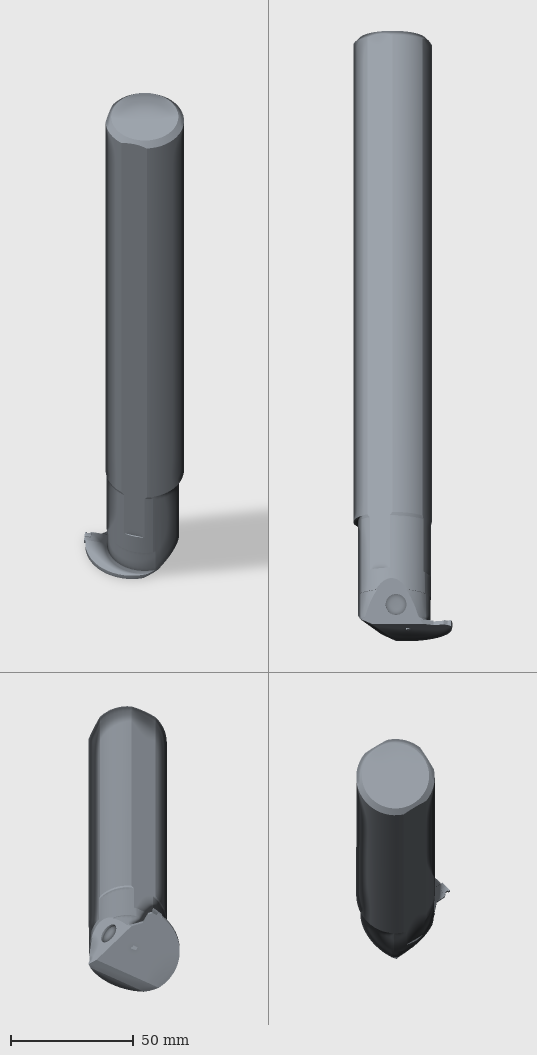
import cadquery as cq
import math


total_length = 250.0
shank_radius = 16.0
shank_bottom = 46.4
top_chamfer = 2.3

flat_distance = 15.06
flat_end = 23.0
flat_angles = [-90, 90, 180]

neck_radius = 15.67
neck_cone_height = 1.3
neck_side_flat = 15.31
lower_neck_radius = 15.43
lower_neck_top = 14.1

swing_radius = 19.1
swing_x = -5.45
swing_y = 0.22

blade_bottom = 0.7
blade_top = 2.6
collar_size = 0.9

relief_point = (-13.7, 7.06, 3.9)
relief_normal = (-0.30, 0.90, -0.30)

nose_point = (-18.9, 1.5)
nose_angle = 47.0

recess_diameter = 8.5
recess_center = (-5.6, 11.2, 8.3)
recess_depth = 1.2

heel_top = (swing_x + swing_radius, 7.6)
heel_knee = (9.3, 3.0)
heel_toe = (4.3, blade_bottom)

insert_tip_x = -25.57
insert_tip_y = 0.6
insert_tilt = 3.2
insert_length = 19.1
insert_height = 5.3
insert_crown = 0.9
rake_land = 0.7
chip_groove_end = 1.7
chip_groove_depth = 0.4
crown_start = 3.0
end_clearance = 0.6
head_length = 2.8
head_bottom = -2.3
head_taper = 1.5
waist_step = 0.3

clear = 60.0


def disc(radius, bottom, top, x=0.0, y=0.0):
    """Round bar parallel to Z."""
    return cq.Workplane("XY", origin=(x, y, bottom)).circle(radius).extrude(top - bottom)


def outer_side(point, normal):
    """Block filling the outer side of a plane."""
    plane = cq.Plane(origin=point, normal=normal)
    return cq.Workplane(plane).rect(2 * clear, 2 * clear).extrude(clear)


def make_shank():
    shank = disc(shank_radius, shank_bottom, total_length)
    return shank.faces(">Z").chamfer(top_chamfer)


def cone(lower_radius, upper_radius, bottom, height):
    lower = cq.Workplane("XY", origin=(0, 0, bottom)).circle(lower_radius)
    return lower.workplane(offset=height).circle(upper_radius).loft()


def make_neck():
    """Neck in two diameters, with a cone up to the shank and a bevelled collar at the blade."""
    cone_bottom = shank_bottom - neck_cone_height
    neck = disc(lower_neck_radius, blade_bottom, lower_neck_top)
    neck = neck.union(disc(neck_radius, lower_neck_top, cone_bottom))
    neck = neck.union(cone(neck_radius, shank_radius, cone_bottom, neck_cone_height))
    neck = neck.union(cone(lower_neck_radius + collar_size, lower_neck_radius, blade_top, collar_size))
    neck = neck.intersect(disc(swing_radius, blade_bottom, shank_bottom, swing_x, swing_y))
    return neck.cut(outer_side((-neck_side_flat, 0, 0), (-1, 0, 0)))


def make_blade():
    return disc(swing_radius, blade_bottom, blade_top, swing_x, swing_y)


def cut_flats(body):
    for angle in flat_angles:
        block = cq.Workplane("XY").box(clear, clear, total_length, centered=(False, True, False))
        block = block.translate((flat_distance, 0, flat_end))
        body = body.cut(block.rotate((0, 0, 0), (0, 0, 1), angle))
    return body


def cut_nose(body):
    """Slants the blade's outer end, leaving everything above the blade alone."""
    turn = math.radians(nose_angle)
    block = outer_side((*nose_point, 0), (-math.sin(turn), math.cos(turn), 0))
    slab = cq.Workplane("XY").rect(4 * clear, 4 * clear).extrude(blade_top)
    return body.cut(block.intersect(slab))


def cut_heel(body):
    beyond_x = heel_top[0] + heel_top[1]
    beyond_top = (beyond_x, 2 * heel_top[1])
    outline = [beyond_top, heel_top, heel_knee, heel_toe, (heel_toe[0], 0), (beyond_x, 0)]
    prism = cq.Workplane("XZ").polyline(outline).close().extrude(clear, both=True)
    return body.cut(prism)


def cut_screw_recess(body):
    plane = cq.Plane(origin=recess_center, normal=relief_normal)
    drill = cq.Workplane(plane).workplane(offset=-recess_depth).circle(recess_diameter / 2)
    return body.cut(drill.extrude(clear))


def place_insert(body):
    return body.rotate((0, 0, 0), (0, 0, 1), insert_tilt).translate((insert_tip_x, insert_tip_y, 0))


def insert_blank():
    """Double-ended outline with a chip groove behind each cutting edge."""
    outer_top = [
        (0, 0),
        (rake_land, 0),
        (rake_land, -chip_groove_depth),
        (chip_groove_end, -chip_groove_depth),
        (crown_start, insert_crown),
    ]
    inner_top = [(insert_length - x, y) for x, y in reversed(outer_top)]
    floor = [
        (insert_length - end_clearance, insert_crown - insert_height),
        (end_clearance, insert_crown - insert_height),
    ]
    return cq.Workplane("XY").polyline(outer_top + inner_top + floor).close().extrude(blade_top)


def make_insert():
    """Blank thinned on both faces, apart from a cutting head at each end."""
    waist = cq.Workplane("XY").rect(2 * clear, 2 * clear).extrude(blade_top - waist_step - blade_bottom)
    waist = waist.translate((0, 0, blade_bottom))
    head_outline = [
        (0, 0),
        (head_taper, blade_bottom),
        (head_length, blade_bottom),
        (head_length, blade_top),
        (0, blade_top),
    ]
    outer_head = cq.Workplane("XZ", origin=(0, head_bottom, 0)).polyline(head_outline).close().extrude(-clear)
    inner_head = outer_head.mirror("YZ").translate((insert_length, 0, 0))
    return place_insert(insert_blank().intersect(waist.union(outer_head).union(inner_head)))


def make_holder():
    holder = make_shank().union(make_neck()).union(make_blade())
    holder = cut_flats(holder)
    holder = holder.cut(outer_side(relief_point, relief_normal))
    holder = cut_nose(holder)
    holder = cut_heel(holder)
    holder = cut_screw_recess(holder)
    return holder.cut(place_insert(insert_blank()))


holder = make_holder()
insert = make_insert()
result = cq.Compound.makeCompound([holder.val(), insert.val()])